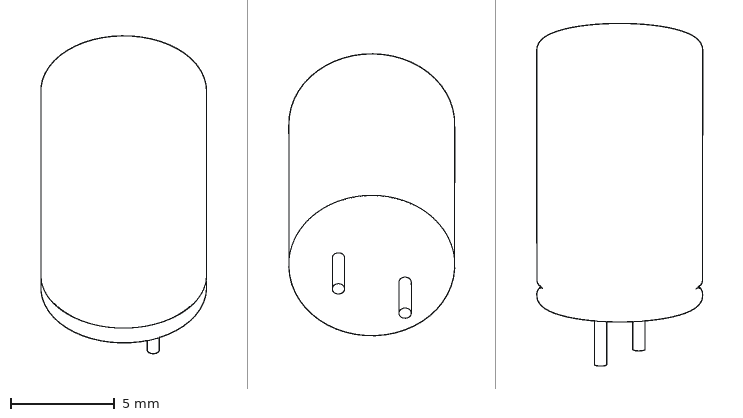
import cadquery as cq

total_height = 15.66
can_diameter = 8.0
can_height = 13.0
top_rounding = 0.4
top_trim = 0.006
bottom_rounding = 0.39

groove_height = 3.5
groove_radius = 0.31
groove_depth = 0.19
groove_lip_rounding = 0.11

lead_diameter = 0.6
lead_pitch = 3.51
lead_embedding = 0.15

can_radius = can_diameter / 2
can_bottom = total_height - can_height


def make_can():
    """Can with the crimp groove cut and all its rims rounded."""
    base = cq.Workplane("XY").workplane(offset=can_bottom)
    blank = base.circle(can_radius).extrude(can_height + top_trim)
    groove_center_radius = can_radius - groove_depth + groove_radius
    groove = (
        cq.Workplane("XZ")
        .center(groove_center_radius, groove_height)
        .circle(groove_radius)
        .revolve(360, (-groove_center_radius, 0, 0), (-groove_center_radius, 1, 0))
    )
    can = blank.faces(">Z").edges().fillet(top_rounding)
    sliver = cq.Workplane("XY").workplane(offset=total_height).circle(can_radius).extrude(top_trim)
    can = can.cut(sliver)
    can = can.faces("<Z").edges().fillet(bottom_rounding)
    lip_edges = cq.selectors.BoxSelector(
        (-can_diameter, -can_diameter, groove_height - groove_radius),
        (can_diameter, can_diameter, groove_height + groove_radius),
        boundingbox=False,
    )
    return can.cut(groove).edges("%CIRCLE").edges(lip_edges).fillet(groove_lip_rounding)


def make_leads():
    """Two round leads along X, reaching slightly into the can to join it."""
    return (
        cq.Workplane("XY")
        .pushPoints([(-lead_pitch / 2, 0), (lead_pitch / 2, 0)])
        .circle(lead_diameter / 2)
        .extrude(can_bottom + lead_embedding)
    )


result = make_can().union(make_leads())